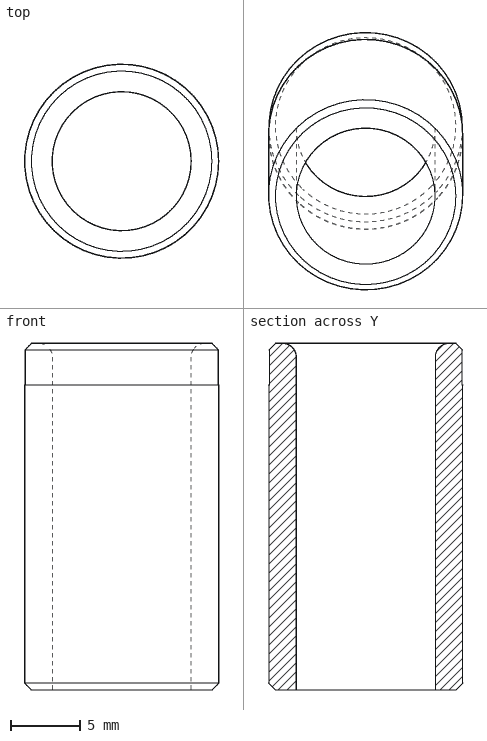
import cadquery as cq

length = 25.0
outer_diameter = 14.0
pilot_diameter = 13.95
pilot_length = 3.0
bore_diameter = 10.0
rim_chamfer = 0.5
entry_radius = 1.0

pilot_chamfer = rim_chamfer - (outer_diameter - pilot_diameter) / 2


def cylinder(diameter, height):
    return cq.Workplane("XY").circle(diameter / 2).extrude(height)


def bushing_body():
    """Main barrel and pilot, each chamfered on its outer rim."""
    barrel = cylinder(outer_diameter, length - pilot_length)
    barrel = barrel.faces("<Z").edges().chamfer(rim_chamfer)
    pilot = cylinder(pilot_diameter, length)
    pilot = pilot.faces(">Z").edges().chamfer(pilot_chamfer)
    pilot = pilot.cut(cylinder(outer_diameter, length - pilot_length))
    return barrel.union(pilot)


def bore_through(body):
    """Through bore with a rounded entry at the top."""
    bored = body.cut(cylinder(bore_diameter, length))
    bore_entry = cq.selectors.RadiusNthSelector(0)
    return bored.faces(">Z").edges(bore_entry).fillet(entry_radius)


result = bore_through(bushing_body())